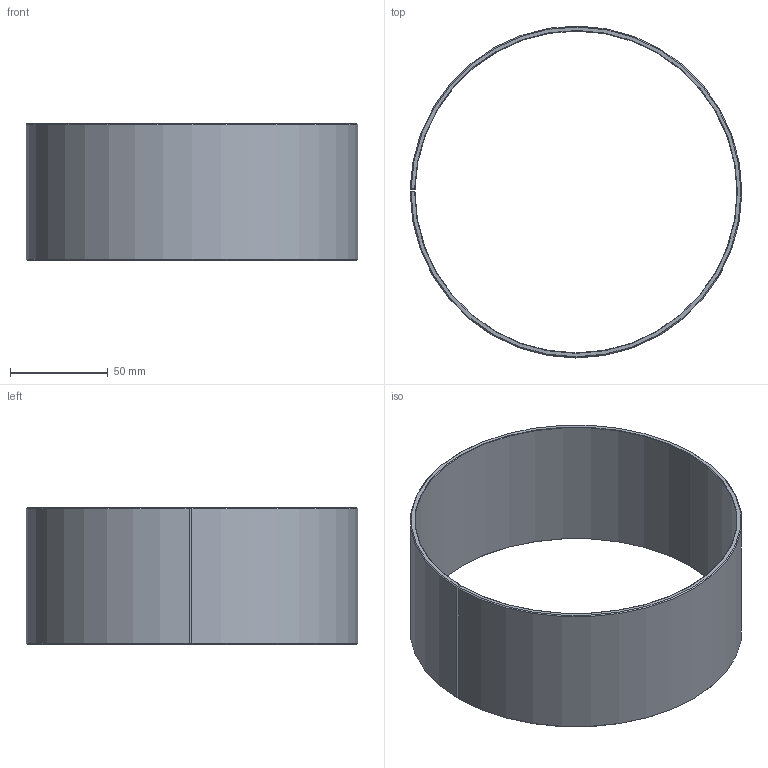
import cadquery as cq

outer_diameter = 170.0
wall_thickness = 2.5
height = 70.0
outer_rim_chamfer = 0.5
inner_rim_chamfer = 0.2
slit_width = 1.5

outer_radius = outer_diameter / 2
inner_radius = outer_radius - wall_thickness

inner_rims = cq.selectors.RadiusNthSelector(0)
outer_rims = cq.selectors.RadiusNthSelector(-1)


def make_band():
    """Thin cylindrical band on the XY plane, with top and bottom rims chamfered."""
    band = cq.Workplane("XY").circle(outer_radius).circle(inner_radius).extrude(height)
    band = band.faces("<Z or >Z").edges(outer_rims).chamfer(outer_rim_chamfer)
    return band.faces("<Z or >Z").edges(inner_rims).chamfer(inner_rim_chamfer)


def make_slit():
    """Full-height cutter through the -X wall, from the XZ plane toward +Y."""
    cutter = cq.Workplane("XY").box(outer_radius, slit_width, height, centered=False)
    return cutter.translate((-outer_radius, 0, 0))


result = make_band().cut(make_slit())